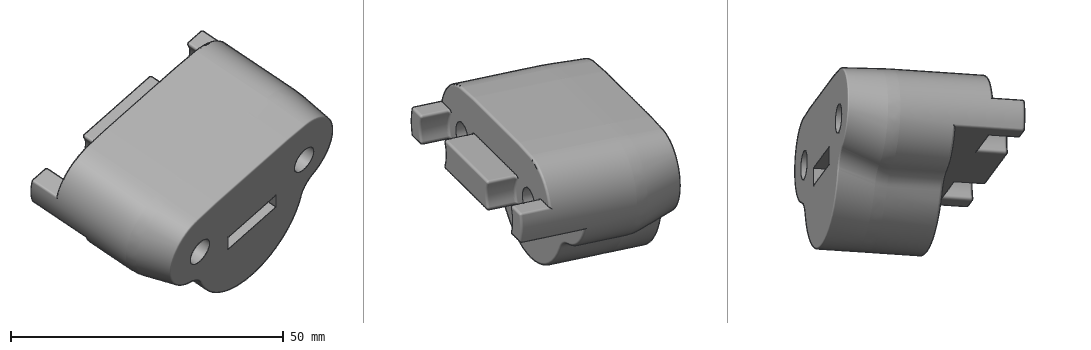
import cadquery as cq
import math

front_x = 6.0
step_x = 13.02
back_x = 33.0
taper_start_x = 23.45
taper_steady_x = 25.75

hole_y = 14.6
hole_diameter = 5.4
lobe_radius = 9.7
flat_half_width = 10.0
crease_half_width = 0.2
shoulder_slope = 0.05
belly_radius = 14.65
belly_blend_radius = 5.0
total_height = 29.95

lobe_shrink = 0.19
top_fall = 0.035

pad_half_height = 3.0
pad_relief_radius = 5.6

slot_width = 13.4
slot_height = 3.4

front_edge_radius = 0.5
pad_edge_radius = 0.5
back_edge_radius = 0.3

overlap = 2 * front_edge_radius

shoulder_angle = math.atan(shoulder_slope)
shoulder_drop = (hole_y - flat_half_width) * shoulder_slope
top_z = lobe_radius / math.cos(shoulder_angle) + shoulder_drop
bottom_z = top_z - total_height
belly_z = bottom_z + belly_radius


def taper_run(x):
    """Taper length that counts at station x: zero, then a parabola, then a straight line."""
    if x <= taper_start_x:
        return 0.0
    blend_length = taper_steady_x - taper_start_x
    if x < taper_steady_x:
        return (x - taper_start_x) ** 2 / (2 * blend_length)
    return x - taper_steady_x + blend_length / 2


def body_outline(x):
    """Closed outline at station x: level top, sloping shoulders, lobes, blends and belly."""
    radius = lobe_radius - lobe_shrink * taper_run(x)
    outline_top = top_z - top_fall * taper_run(x)
    lobe_z = outline_top - shoulder_drop - radius / math.cos(shoulder_angle)

    gap = math.hypot(hole_y, lobe_z - belly_z)
    lobe_reach = radius + belly_blend_radius
    belly_reach = belly_radius + belly_blend_radius
    along = (belly_reach**2 - lobe_reach**2 + gap**2) / (2 * gap)
    turn = math.acos(along / belly_reach)
    belly_angle = math.atan2(lobe_z - belly_z, hole_y) - turn
    blend_y = belly_reach * math.cos(belly_angle)
    blend_z = belly_z + belly_reach * math.sin(belly_angle)
    lobe_angle = math.atan2(blend_z - lobe_z, blend_y - hole_y)
    lobe_top_angle = math.pi / 2 - shoulder_angle

    def on_lobe(angle):
        return (hole_y + radius * math.cos(angle), lobe_z + radius * math.sin(angle))

    def on_blend(angle):
        return (
            blend_y - belly_blend_radius * math.cos(angle),
            blend_z - belly_blend_radius * math.sin(angle),
        )

    def mirrored(point):
        return (-point[0], point[1])

    flat_end = (flat_half_width - crease_half_width, outline_top)
    crease_middle = (flat_half_width, outline_top - crease_half_width * shoulder_slope / 4)
    shoulder_start = (flat_half_width + crease_half_width, outline_top - crease_half_width * shoulder_slope)
    lobe_top = on_lobe(lobe_top_angle)
    lobe_middle = on_lobe((lobe_top_angle + lobe_angle) / 2)
    lobe_end = on_lobe(lobe_angle)
    blend_middle = on_blend((lobe_angle + belly_angle) / 2)
    blend_end = on_blend(belly_angle)
    return (
        cq.Workplane("YZ", origin=(x, 0, 0))
        .moveTo(*mirrored(flat_end))
        .lineTo(*flat_end)
        .threePointArc(crease_middle, shoulder_start)
        .lineTo(*lobe_top)
        .threePointArc(lobe_middle, lobe_end)
        .threePointArc(blend_middle, blend_end)
        .threePointArc((0, bottom_z), mirrored(blend_end))
        .threePointArc(mirrored(blend_middle), mirrored(lobe_end))
        .threePointArc(mirrored(lobe_middle), mirrored(lobe_top))
        .lineTo(*mirrored(shoulder_start))
        .threePointArc(mirrored(crease_middle), mirrored(flat_end))
        .close()
    )


def straight_body(start_x, end_x):
    """Prism with the outline found at its start."""
    return body_outline(start_x).extrude(end_x - start_x)


def lofted_body(stations, ruled):
    """Body whose outline changes through the given stations."""
    wires = [body_outline(x).val() for x in stations]
    return cq.Workplane(cq.Solid.makeLoft(wires, ruled))


def slab(start_x, end_x, low_z, high_z):
    """Block wider than the body between two stations and two heights."""
    wide = 4 * hole_y
    block = cq.Workplane("XY").box(end_x - start_x, wide, high_z - low_z, centered=(False, True, False))
    return block.translate((start_x, 0, low_z))


def hole_cylinders(radius, start_x, end_x):
    """Pair of cylinders on the hole axes."""
    plane = cq.Workplane("YZ", origin=(start_x, 0, 0))
    return plane.pushPoints([(-hole_y, 0), (hole_y, 0)]).circle(radius).extrude(end_x - start_x)


def rear_body():
    """Full outline behind the step, with the taper and both end rims rounded."""
    straight = straight_body(step_x, taper_start_x)
    straight = straight.faces("<X").edges().fillet(front_edge_radius)
    blend_middle_x = (taper_start_x + taper_steady_x) / 2
    blend = lofted_body([taper_start_x, blend_middle_x, taper_steady_x], False)
    taper = lofted_body([taper_steady_x, back_x], True)
    taper = taper.faces(">X").edges().fillet(back_edge_radius)
    return straight.union(blend).union(taper)


def front_block():
    """Upper part of the body ahead of the step, reaching past the rounded step rim."""
    end_x = step_x + overlap
    outline = straight_body(front_x, end_x)
    upper = outline.intersect(slab(front_x, end_x, -pad_half_height, top_z))
    upper = upper.faces("<Z").edges("|X").fillet(pad_edge_radius)
    return upper.intersect(outline.faces("<X").edges().fillet(front_edge_radius))


def pad_band():
    """Band across the front whose round reliefs around the holes leave three pads."""
    end_x = front_x + overlap
    band = straight_body(0, end_x).intersect(slab(0, end_x, -pad_half_height, pad_half_height))
    band = band.cut(hole_cylinders(pad_relief_radius, 0, front_x))
    return band.edges("not >X").fillet(pad_edge_radius)


def slot():
    """Through slot below the pads, open from the step to the back face."""
    tunnel = cq.Workplane("XY").box(back_x, slot_width, slot_height, centered=(False, True, False))
    return tunnel.translate((0, 0, -pad_half_height - slot_height))


result = rear_body().union(front_block()).union(pad_band())
result = result.cut(hole_cylinders(hole_diameter / 2, 0, back_x)).cut(slot())